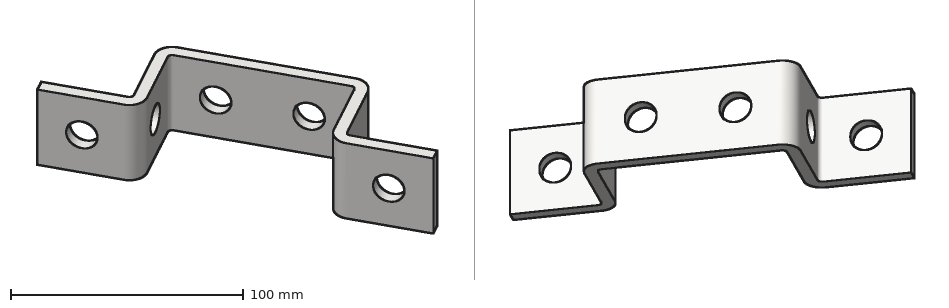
import cadquery as cq

length = 178.0
depth = 47.0
height = 40.0

thickness = 6.0
inner_radius = 2.0
outer_radius = inner_radius + thickness
hat_width = 96.0

hole_diameter = 14.0
flange_hole_spacing = 138.0
web_hole_spacing = 42.0
leg_hole_offset = 20.1

half_length = length / 2
leg_outer = hat_width / 2
leg_inner = leg_outer - thickness


def bent_strap():
    """Extrude the hat profile and round both sides of its four bends."""
    right_side = [
        (leg_inner, 0),
        (half_length, 0),
        (half_length, thickness),
        (leg_outer, thickness),
        (leg_outer, depth),
    ]
    inside_corner = (leg_inner, depth - thickness)
    left_side = [(-x, y) for x, y in reversed(right_side)]
    inside_left = (-inside_corner[0], inside_corner[1])
    profile = [inside_corner] + right_side + left_side + [inside_left]
    strap = cq.Workplane("XY").polyline(profile).close().extrude(height)

    def round_edges(body, x, y, radius):
        """Round the mirrored pair of vertical edges at +/-x."""
        for side in (-1, 1):
            edge = cq.selectors.NearestToPointSelector((side * x, y, height / 2))
            body = body.edges("|Z").edges(edge).fillet(radius)
        return body

    strap = round_edges(strap, leg_inner, 0, outer_radius)
    strap = round_edges(strap, leg_outer, thickness, inner_radius)
    strap = round_edges(strap, leg_outer, depth, outer_radius)
    return round_edges(strap, leg_inner, depth - thickness, inner_radius)


def front_holes():
    """Cylinders along Y through the flanges and the web."""
    centers = [
        (side * spacing / 2, height / 2)
        for spacing in (flange_hole_spacing, web_hole_spacing)
        for side in (-1, 1)
    ]
    return cq.Workplane("XZ").pushPoints(centers).circle(hole_diameter / 2).extrude(-depth)


def leg_holes():
    """One cylinder along X through both legs."""
    return (
        cq.Workplane("YZ")
        .center(leg_hole_offset, height / 2)
        .circle(hole_diameter / 2)
        .extrude(leg_outer, both=True)
    )


result = bent_strap().cut(front_holes()).cut(leg_holes())